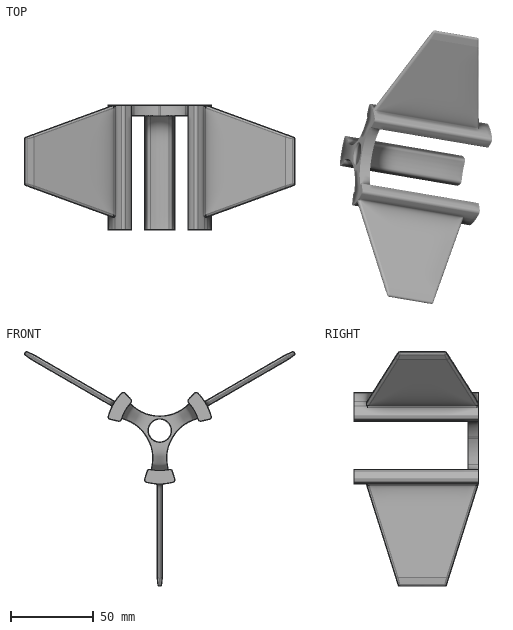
import cadquery as cq
import math

ARM_COUNT = 3

RAIL_LENGTH = 76.0
RAIL_INNER_RADIUS = 24.3
RAIL_OUTER_RADIUS = 32.5
RAIL_HALF_ANGLE = math.radians(17.3)
RAIL_CORNER_RADIUS = 1.6

HUB_THICKNESS = 6.5
HUB_WAIST_RADIUS = 8.9
HUB_SCOOP_RADIUS = 23.5
HUB_SCOOP_HALF_ANGLE = math.radians(40)
HUB_WAIST_FLAT = 1.0
HUB_HOLE_DIAMETER = 14.0

FIN_THICKNESS = 3.3
FIN_EDGE_RADIUS = 1.3
FIN_ROOT_LENGTH = 68.3
FIN_TIP_LENGTH = 29.0
FIN_BACK_GAP = 0.2
FIN_TIP_RADIUS = 94.8
TIP_TAPER_LENGTH = 5.3
TIP_THICKNESS = 2.1
TIP_EDGE_RADIUS = 1.0
TIP_END_RADIUS = 0.97
ROOT_FILLET = 0.8

fin_half = FIN_THICKNESS / 2
fin_middle_y = -FIN_BACK_GAP - FIN_ROOT_LENGTH / 2
crown_z = -math.sqrt(RAIL_OUTER_RADIUS**2 - fin_half**2)


def polar(radius, angle):
    """Point at a radius from the axis, with the angle measured from -Z."""
    return radius * math.sin(angle), -radius * math.cos(angle)


def make_rail():
    """Ring sector whose outer face has a flat crown as wide as the fin is thick."""
    crown_angle = math.asin(fin_half / RAIL_OUTER_RADIUS)
    middle_angle = (crown_angle + RAIL_HALF_ANGLE) / 2
    return (
        cq.Workplane("XZ")
        .moveTo(*polar(RAIL_INNER_RADIUS, -RAIL_HALF_ANGLE))
        .threePointArc(polar(RAIL_INNER_RADIUS, 0), polar(RAIL_INNER_RADIUS, RAIL_HALF_ANGLE))
        .lineTo(*polar(RAIL_OUTER_RADIUS, RAIL_HALF_ANGLE))
        .threePointArc(polar(RAIL_OUTER_RADIUS, middle_angle), polar(RAIL_OUTER_RADIUS, crown_angle))
        .lineTo(*polar(RAIL_OUTER_RADIUS, -crown_angle))
        .threePointArc(
            polar(RAIL_OUTER_RADIUS, -middle_angle), polar(RAIL_OUTER_RADIUS, -RAIL_HALF_ANGLE)
        )
        .close()
        .extrude(RAIL_LENGTH)
        .edges("|Y")
        .filter(lambda edge: abs(edge.Center().x) > FIN_THICKNESS)
        .fillet(RAIL_CORNER_RADIUS)
    )


def make_fin():
    """Blade with rounded leading and trailing edges, thinned towards a rounded tip."""
    root_z = -(RAIL_INNER_RADIUS + RAIL_OUTER_RADIUS) / 2
    taper_z = TIP_TAPER_LENGTH - FIN_TIP_RADIUS
    slope = (FIN_ROOT_LENGTH - FIN_TIP_LENGTH) / (FIN_TIP_RADIUS + crown_z)

    def section(z, thickness, edge_radius):
        """Rounded cross-section of the blade; its length stops growing inside the rail."""
        length = min(FIN_ROOT_LENGTH, FIN_TIP_LENGTH + slope * (FIN_TIP_RADIUS + z))
        outline = cq.Sketch().rect(thickness, length).vertices().fillet(edge_radius)
        return outline.moved(cq.Location(cq.Vector(0, fin_middle_y, z)))

    blade = (
        cq.Workplane("XY")
        .placeSketch(
            section(root_z, FIN_THICKNESS, FIN_EDGE_RADIUS),
            section(crown_z, FIN_THICKNESS, FIN_EDGE_RADIUS),
            section(taper_z, FIN_THICKNESS, FIN_EDGE_RADIUS),
            section(-FIN_TIP_RADIUS, TIP_THICKNESS, TIP_EDGE_RADIUS),
        )
        .loft(ruled=True)
    )
    return blade.faces("<Z").edges().fillet(TIP_END_RADIUS)


def make_root_fillets():
    """Concave fillets along both sides of the fin where it leaves the rail."""
    foot_half = fin_half + ROOT_FILLET
    rail_z = -math.sqrt(RAIL_OUTER_RADIUS**2 - foot_half**2)
    top_z = rail_z - ROOT_FILLET
    bulge = ROOT_FILLET * (1 - math.sqrt(0.5))
    return (
        cq.Workplane("XZ", origin=(0, -FIN_BACK_GAP - ROOT_FILLET, 0))
        .moveTo(-foot_half, rail_z)
        .threePointArc((-fin_half - bulge, rail_z - bulge), (-fin_half, top_z))
        .lineTo(fin_half, top_z)
        .threePointArc((fin_half + bulge, rail_z - bulge), (foot_half, rail_z))
        .lineTo(foot_half, rail_z + ROOT_FILLET)
        .lineTo(-foot_half, rail_z + ROOT_FILLET)
        .close()
        .extrude(FIN_ROOT_LENGTH - 2 * ROOT_FILLET)
    )


def around_axis(shape, index):
    """Copy a shape to one of the evenly spaced arm positions."""
    return shape.rotate((0, 0, 0), (0, 1, 0), index * 360 / ARM_COUNT)


def make_hub():
    """Disc reaching into the rails, scooped out between the arms."""
    disc_radius = (RAIL_INNER_RADIUS + RAIL_OUTER_RADIUS) / 2
    hub = cq.Workplane("XZ").circle(disc_radius).extrude(HUB_THICKNESS)
    arc_start = HUB_WAIST_FLAT / 2

    def arc_point(angle):
        """Point on the right-hand arc of the scoop, with the angle measured from its lowest point."""
        x, rise = polar(HUB_SCOOP_RADIUS, angle)
        return arc_start + x, HUB_WAIST_RADIUS + HUB_SCOOP_RADIUS + rise

    arc_middle = arc_point(HUB_SCOOP_HALF_ANGLE / 2)
    arc_end = arc_point(HUB_SCOOP_HALF_ANGLE)
    line_end = (
        arc_end[0] + disc_radius * math.cos(HUB_SCOOP_HALF_ANGLE),
        arc_end[1] + disc_radius * math.sin(HUB_SCOOP_HALF_ANGLE),
    )
    scoop = (
        cq.Workplane("XZ")
        .moveTo(-arc_start, HUB_WAIST_RADIUS)
        .lineTo(arc_start, HUB_WAIST_RADIUS)
        .threePointArc(arc_middle, arc_end)
        .lineTo(*line_end)
        .lineTo(-line_end[0], line_end[1])
        .lineTo(-arc_end[0], arc_end[1])
        .threePointArc((-arc_middle[0], arc_middle[1]), (-arc_start, HUB_WAIST_RADIUS))
        .close()
        .extrude(HUB_THICKNESS)
    )
    for index in range(ARM_COUNT):
        hub = hub.cut(around_axis(scoop, index))
    return hub


arm = make_rail().union(make_fin()).union(make_root_fillets())
result = make_hub()
for index in range(ARM_COUNT):
    result = result.union(around_axis(arm, index))

result = result.cut(cq.Workplane("XZ").circle(HUB_HOLE_DIAMETER / 2).extrude(HUB_THICKNESS))